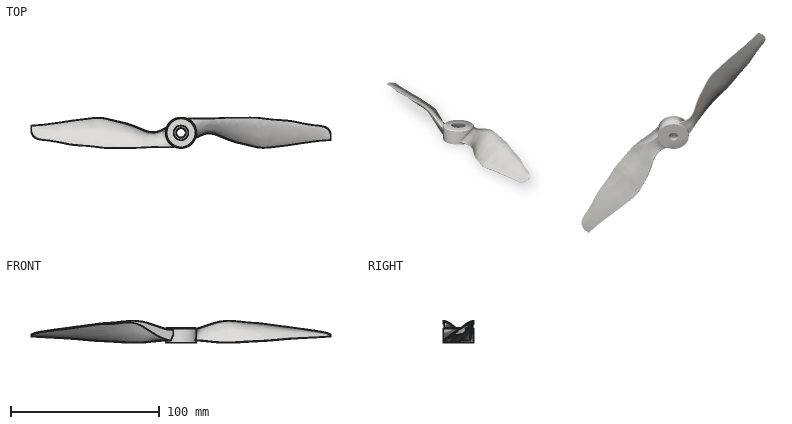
import cadquery as cq

HUB_DIAMETER = 20.5
HUB_HEIGHT = 10.0
HUB_RIM_CHAMFER = 0.6
BORE_DIAMETER = 6.2
COUNTERBORE_DIAMETER = 9.9
COUNTERBORE_DEPTH = 2.0

BLADE_STATIONS = [
    (5.2, (-4.0, 1.6), (9.7, 8.3), 2.8, 7.7),
    (12.0, (-2.2, 1.6), (9.7, 9.7), 2.8, 6.7),
    (20.2, (-0.5, 0.8), (9.7, 12.5), 2.8, 5.0),
    (28.2, (-3.0, 0.2), (10.0, 14.3), 3.2, 2.0),
    (38.3, (-6.7, 0.5), (10.3, 14.1), 3.2, 0.6),
    (52.5, (-9.9, 1.2), (10.0, 13.0), 2.8, 0.5),
    (66.5, (-9.0, 2.2), (8.7, 11.0), 2.2, 0.5),
    (80.6, (-7.0, 3.2), (6.7, 9.3), 1.8, 0.5),
    (92.7, (-5.5, 3.8), (4.8, 7.7), 1.0, 0.2),
    (98.4, (-5.0, 4.2), (3.0, 6.5), 0.8, 0.2),
    (100.8, (-4.8, 4.2), (-1.2, 5.2), 0.5, 0.2),
]
WALL_LEAN = 0.3

UPPER_CURVE = [(0.0, 0.1), (0.35, 0.55), (0.7, 0.65), (0.93, 0.4)]
LOWER_CURVE = [(0.0, -0.1), (0.35, -0.2), (0.7, -0.2)]


def blade_section(x, trailing, leading, thickness, wall_height):
    """Closed airfoil wire in the plane X = x."""
    tail = cq.Vector(x, *trailing)
    nose = cq.Vector(x, *leading)
    wall = cq.Vector(0, -WALL_LEAN * wall_height, -wall_height)
    chord = nose - tail
    upward = cq.Vector(1, 0, 0).cross(chord).normalized()

    def curve_points(curve, chord_line):
        return [tail + chord_line * along + upward * (height * thickness) for along, height in curve]

    upper = curve_points(UPPER_CURVE, chord) + [nose]
    lower = curve_points(LOWER_CURVE, chord + wall) + [nose + wall]
    upper_start = upper[1] - upper[0]
    edges = [
        cq.Edge.makeSpline(upper, tangents=[upper_start, wall]),
        cq.Edge.makeLine(nose, nose + wall),
        cq.Edge.makeSpline(lower[::-1]),
        cq.Edge.makeLine(lower[0], upper[0]),
    ]
    return cq.Wire.assembleEdges(edges)


def make_blade():
    """Twisted blade along +X with its leading edge high on the +Y side."""
    sections = [blade_section(*station) for station in BLADE_STATIONS]
    return cq.Workplane(obj=cq.Solid.makeLoft(sections))


def make_hub():
    hub = cq.Workplane("XY").circle(HUB_DIAMETER / 2).extrude(HUB_HEIGHT)
    return hub.faces(">Z").edges().chamfer(HUB_RIM_CHAMFER)


def cut_bore(body):
    """Through bore with a counterbore in the top of the hub."""
    bore = cq.Workplane("XY").circle(BORE_DIAMETER / 2).extrude(HUB_HEIGHT)
    counterbore = (
        cq.Workplane("XY", origin=(0, 0, HUB_HEIGHT - COUNTERBORE_DEPTH))
        .circle(COUNTERBORE_DIAMETER / 2)
        .extrude(COUNTERBORE_DEPTH)
    )
    return body.cut(bore).cut(counterbore)


blade = make_blade()
opposite_blade = blade.rotate((0, 0, 0), (0, 0, 1), 180)
result = cut_bore(make_hub().union(blade).union(opposite_blade))